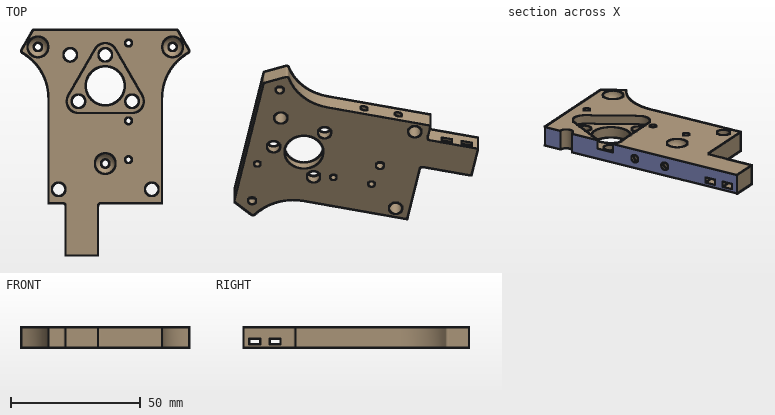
import cadquery as cq
import math

thickness = 8.0
top_y = 21.7
body_half_width = 22.0
body_length = 67.1
body_bottom_y = top_y - body_length
overall_length = 87.2
corner_radius = 1.0

slant_angle = math.radians(30)
slant_distance = 35.0
flank_radius = 20.0
flank_end_y = -4.6

tongue_left_x = -15.35
tongue_width = 12.65
tongue_bottom_y = top_y - overall_length

bore_diameter = 15.0
pocket_hole_circle_radius = 11.95
pocket_corner_radius = 4.5
pocket_depth = 3.6

bolt_hole_diameter = 5.15
bolt_hole_points = [(-13.5, pocket_hole_circle_radius), (-18.0, -39.95), (18.0, -39.95)]
pin_hole_diameter = 2.5
pin_hole_points = [(9.0, y) for y in (16.5, -13.5, -28.5)]

seat_circle_radius = 30.0
seat_radius = 4.0
seat_hole_diameter = 3.1

side_hole_diameter = 2.9
side_hole_depth = 10.0
side_hole_ys = (-19.1, -32.6)

slot_length = 4.1
slot_height = 2.0
slot_bottom_z = 1.5
slot_ys = (-53.2, -61.1)


def polar_points(radius, angles):
    return [
        (radius * math.cos(math.radians(a)), radius * math.sin(math.radians(a)))
        for a in angles
    ]


def slant_x(y):
    """X on the right slanted end at height y."""
    return (slant_distance - y * math.sin(slant_angle)) / math.cos(slant_angle)


def make_body():
    center_x = body_half_width + flank_radius
    center_distance = center_x * math.cos(slant_angle) + flank_end_y * math.sin(slant_angle)
    tip_angle = slant_angle + math.acos((slant_distance - center_distance) / flank_radius)
    tip_x = center_x + flank_radius * math.cos(tip_angle)
    tip_y = flank_end_y + flank_radius * math.sin(tip_angle)
    middle_angle = (tip_angle + math.pi) / 2
    middle_x = center_x + flank_radius * math.cos(middle_angle)
    middle_y = flank_end_y + flank_radius * math.sin(middle_angle)
    top_x = slant_x(top_y)
    tongue_right_x = tongue_left_x + tongue_width

    body = (
        cq.Workplane("XY")
        .moveTo(-top_x, top_y)
        .lineTo(top_x, top_y)
        .lineTo(tip_x, tip_y)
        .threePointArc((middle_x, middle_y), (body_half_width, flank_end_y))
        .lineTo(body_half_width, body_bottom_y)
        .lineTo(tongue_right_x, body_bottom_y)
        .lineTo(tongue_right_x, tongue_bottom_y)
        .lineTo(tongue_left_x, tongue_bottom_y)
        .lineTo(tongue_left_x, body_bottom_y)
        .lineTo(-body_half_width, body_bottom_y)
        .lineTo(-body_half_width, flank_end_y)
        .threePointArc((-middle_x, middle_y), (-tip_x, tip_y))
        .close()
        .extrude(thickness)
    )
    rounded_corners = [
        (-top_x, top_y),
        (top_x, top_y),
        (-tip_x, tip_y),
        (tip_x, tip_y),
        (tongue_left_x, body_bottom_y),
        (tongue_right_x, body_bottom_y),
    ]
    for x, y in rounded_corners:
        corner = cq.selectors.NearestToPointSelector((x, y, thickness / 2))
        body = body.edges("|Z").edges(corner).fillet(corner_radius)
    return body


def through_holes(points, diameter):
    return cq.Workplane("XY").pushPoints(points).circle(diameter / 2).extrude(thickness)


def triangular_pocket(corners):
    return (
        cq.Workplane("XY", origin=(0, 0, thickness - pocket_depth))
        .polyline(corners)
        .close()
        .offset2D(pocket_corner_radius)
        .extrude(pocket_depth)
    )


def spherical_seats(points):
    return cq.Workplane("XY", origin=(0, 0, thickness)).pushPoints(points).sphere(seat_radius)


def side_holes():
    centers = [(y, thickness / 2) for y in side_hole_ys]
    return (
        cq.Workplane("YZ", origin=(-body_half_width, 0, 0))
        .pushPoints(centers)
        .circle(side_hole_diameter / 2)
        .extrude(side_hole_depth)
    )


def tongue_slots():
    centers = [(y, slot_bottom_z + slot_height / 2) for y in slot_ys]
    return (
        cq.Workplane("YZ", origin=(tongue_left_x, 0, 0))
        .pushPoints(centers)
        .rect(slot_length, slot_height)
        .extrude(tongue_width)
    )


pocket_hole_points = polar_points(pocket_hole_circle_radius, (90, 210, 330))
seat_points = polar_points(seat_circle_radius, (30, 150, 270))

result = (
    make_body()
    .cut(through_holes([(0, 0)], bore_diameter))
    .cut(triangular_pocket(pocket_hole_points))
    .cut(through_holes(pocket_hole_points + bolt_hole_points, bolt_hole_diameter))
    .cut(through_holes(pin_hole_points, pin_hole_diameter))
    .cut(spherical_seats(seat_points))
    .cut(through_holes(seat_points, seat_hole_diameter))
    .cut(side_holes())
    .cut(tongue_slots())
)